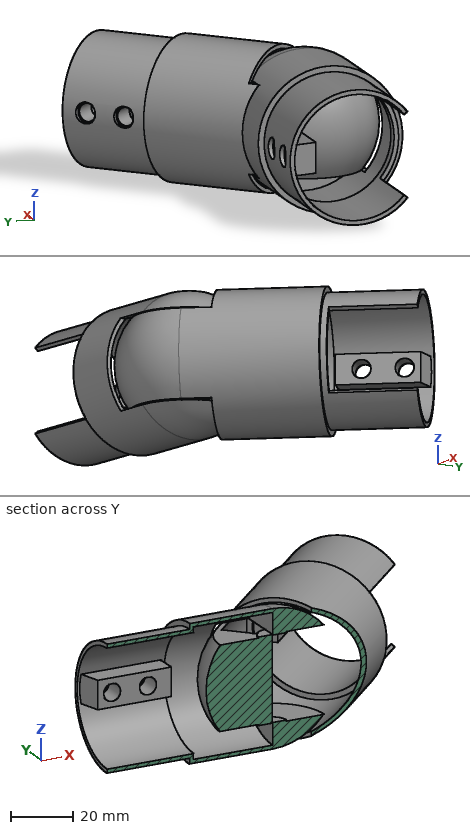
import cadquery as cq
import math


overall_length = 126.2
bend_angle = 45.0

sleeve_diameter = 48.3
sleeve_radius = sleeve_diameter / 2
spigot_radius = 22.2
wall = 1.5
sleeve_bore_radius = sleeve_radius - wall
spigot_bore_radius = spigot_radius - wall

fork_length = 59.9
fork_spigot_length = 29.9
tongue_spigot_length = 30.9
fork_notch = 11.7
tongue_notch = 10.0
tongue_half_height = 14.9
hinge_clearance = 0.4
washer_radius = 5.0
prong_face_height = tongue_half_height + hinge_clearance

slot_half_angle = 39.5
slot_margin = 2.1

bar_height = 10.1
bar_inner_face = 12.6
bar_setback = 0.9
bar_lean = 2.4
bar_hole_diameter = 6.0
wall_hole_diameter = 7.1
first_hole = 8.5
fork_hole_pitch = 13.0
tongue_hole_pitch = 14.0

bend = math.radians(bend_angle)
slot_edge = spigot_radius * math.cos(math.radians(slot_half_angle))
tongue_length = (overall_length - fork_length - slot_edge * math.sin(bend)) / math.cos(bend)


def cylinder_along_x(radius, start, end):
    return cq.Workplane("YZ", origin=(start, 0, 0)).circle(radius).extrude(end - start)


def centre_slab(start, end, half_height):
    """Block centred on the leg axis, wider than the sleeve."""
    slab = cq.Workplane("XY").box(end - start, 2 * sleeve_diameter, 2 * half_height)
    return slab.translate(((start + end) / 2, 0, 0))


def spigot_slot(shoulder, end):
    """Wedge that opens the -Y side of the spigot with radial edges."""
    reach = 2 * spigot_radius
    start = shoulder + slot_margin
    half_width = reach * math.tan(math.radians(slot_half_angle))
    return (
        cq.Workplane("YZ", origin=(start, 0, 0))
        .polyline([(0, 0), (-reach, half_width), (-reach, -half_width)])
        .close()
        .extrude(end - start)
    )


def screw_bar(shoulder, end):
    """Bar on the +Y inner wall of the spigot, with a leaning outer end."""
    wall_end = end - bar_setback
    profile = [
        (shoulder, bar_inner_face),
        (wall_end - bar_lean, bar_inner_face),
        (wall_end, spigot_bore_radius),
        (wall_end, spigot_radius),
        (shoulder, spigot_radius),
    ]
    bar = (
        cq.Workplane("XY", origin=(0, 0, -bar_height / 2))
        .polyline(profile)
        .close()
        .extrude(bar_height)
    )
    return bar.intersect(cylinder_along_x(spigot_radius, shoulder, end))


def screw_holes(end, pitch):
    """Two holes along +Y, through the bar and wider where they cross the spigot wall."""
    places = [(end - first_hole, 0), (end - first_hole - pitch, 0)]
    through = (
        cq.Workplane("XZ")
        .pushPoints(places)
        .circle(bar_hole_diameter / 2)
        .extrude(-spigot_radius)
    )
    through_wall = (
        cq.Workplane("XZ", origin=(0, spigot_bore_radius, 0))
        .pushPoints(places)
        .circle(wall_hole_diameter / 2)
        .extrude(-wall)
    )
    return through.union(through_wall)


def tubular_leg(length, spigot_length, hole_pitch):
    """Sleeve and slotted spigot along +X, with a half ball closing the hinge end."""
    shoulder = length - spigot_length
    ball = cq.Workplane("XY").sphere(sleeve_radius)
    half_ball = ball.intersect(cylinder_along_x(sleeve_radius, -sleeve_radius, 0))
    leg = (
        cylinder_along_x(sleeve_radius, 0, shoulder)
        .union(cylinder_along_x(spigot_radius, shoulder, length))
        .cut(cylinder_along_x(sleeve_bore_radius, 0, shoulder - wall))
        .cut(cylinder_along_x(spigot_bore_radius, shoulder - wall, length))
        .cut(spigot_slot(shoulder, length))
        .union(screw_bar(shoulder, length))
        .cut(screw_holes(length, hole_pitch))
    )
    return leg.union(half_ball)


fork_leg = (
    tubular_leg(fork_length, fork_spigot_length, fork_hole_pitch)
    .cut(centre_slab(-sleeve_diameter, fork_notch, prong_face_height))
    .mirror("YZ")
)

hinge_zone = cylinder_along_x(sleeve_diameter, -sleeve_diameter, tongue_notch)
prong_space = hinge_zone.cut(centre_slab(-sleeve_diameter, tongue_notch, tongue_half_height))
tongue_leg = (
    tubular_leg(tongue_length, tongue_spigot_length, tongue_hole_pitch)
    .cut(prong_space)
    .rotate((0, 0, 0), (0, 0, 1), bend_angle)
)

upper_washer = (
    cq.Workplane("XY", origin=(0, 0, tongue_half_height))
    .circle(washer_radius)
    .extrude(hinge_clearance)
)
lower_washer = upper_washer.mirror("XY")

result = fork_leg.union(upper_washer).union(lower_washer).union(tongue_leg)